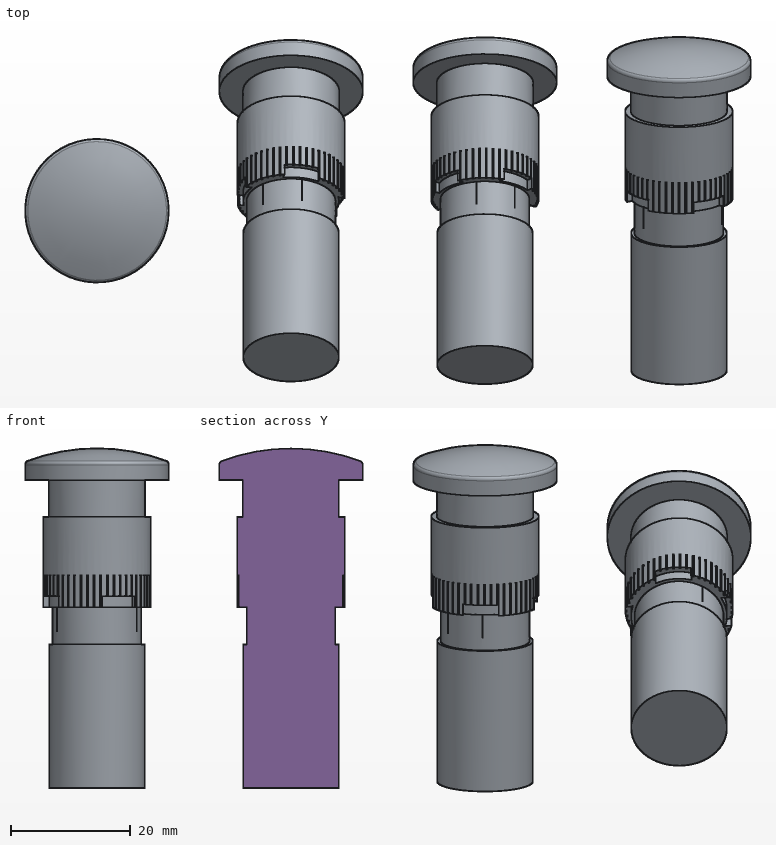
import cadquery as cq
import math

body_top = 24.0
bar_bottom = 26.2
collar_bottom = 30.15
notch_top = 32.05
groove_top = 35.5
collar_top = 45.25
cap_bottom = 51.4
cap_edge_top = 54.0
dome_base = 54.6
total_height = 56.7

body_diameter = 16.0
shank_diameter = 14.85
collar_diameter = 18.0
notch_floor_diameter = 16.0
stem_diameter = 16.1
cap_diameter = 24.0
dome_rim_diameter = 23.15

bar_length = 13.3
bar_width = 6.7

groove_count = 50
groove_width = 0.2
groove_depth = 0.3
groove_angle = 0.45

notch_count = 4
notch_width = 6.0
notch_angle = 25.0


def cylinder(diameter, bottom, top):
    return cq.Workplane("XY").workplane(offset=bottom).circle(diameter / 2).extrude(top - bottom)


def radial_blocks(count, first_angle, depth, width, bottom, top):
    """Upright blocks spread around the collar, reaching inwards from its surface by depth."""
    return (
        cq.Workplane("XY")
        .workplane(offset=bottom)
        .polarArray(collar_diameter / 2, first_angle, 360, count)
        .rect(2 * depth, width)
        .extrude(top - bottom)
    )


def make_shank():
    shank = cylinder(shank_diameter, body_top, collar_bottom)
    bar = (
        cq.Workplane("XY")
        .workplane(offset=bar_bottom)
        .rect(bar_length, bar_width)
        .extrude(collar_bottom - bar_bottom)
    )
    return shank.union(bar)


def make_collar():
    grooves = radial_blocks(
        groove_count, groove_angle, groove_depth, groove_width, collar_bottom, groove_top
    )
    notch_block_depth = collar_diameter / 4
    notches = radial_blocks(
        notch_count, notch_angle, notch_block_depth, notch_width, collar_bottom, notch_top
    ).cut(cylinder(notch_floor_diameter, collar_bottom, notch_top))
    return cylinder(collar_diameter, collar_bottom, collar_top).cut(grooves).cut(notches)


def make_cap():
    """Mushroom head: short cylinder, rounded edge and shallow spherical dome."""
    cap_radius = cap_diameter / 2
    rim_radius = dome_rim_diameter / 2
    rise = total_height - dome_base
    dome_radius = (rim_radius**2 + rise**2) / (2 * rise)
    middle_radius = rim_radius / 2
    middle_height = total_height - dome_radius + math.sqrt(dome_radius**2 - middle_radius**2)
    profile = (
        cq.Workplane("XZ")
        .moveTo(0, cap_bottom)
        .lineTo(cap_radius, cap_bottom)
        .lineTo(cap_radius, cap_edge_top)
        .tangentArcPoint((rim_radius, dome_base), relative=False)
        .threePointArc((middle_radius, middle_height), (0, total_height))
        .close()
    )
    return profile.revolve(360, (0, 0, 0), (0, 1, 0))


body = cylinder(body_diameter, 0, body_top)
stem = cylinder(stem_diameter, collar_top, cap_bottom)

result = body.union(make_shank()).union(make_collar()).union(stem).union(make_cap())